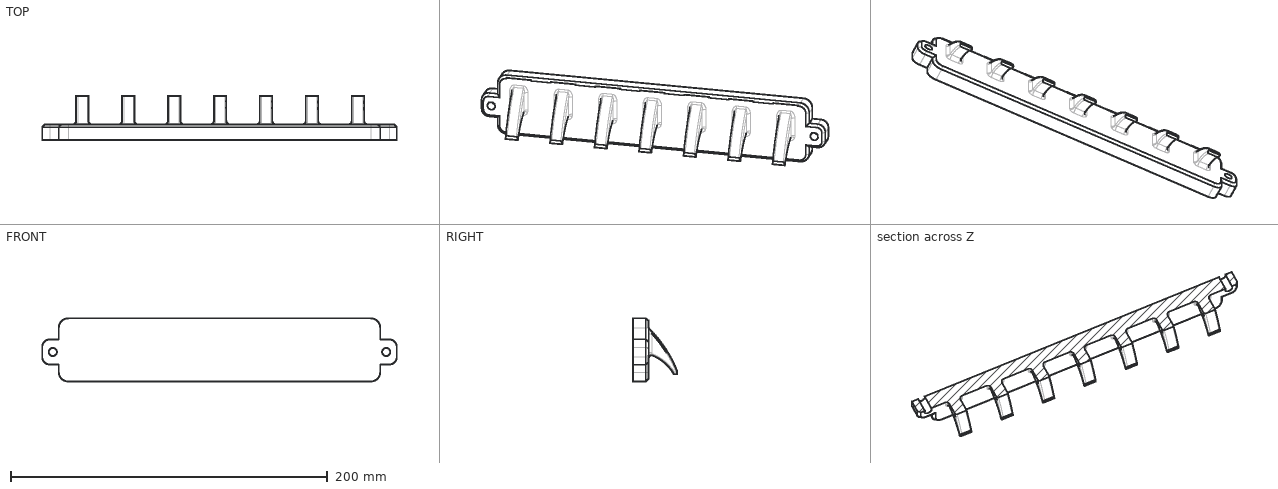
import cadquery as cq
overall_length = 224.05
tab_projection = 10.5
body_length = overall_length - 2 * tab_projection
body_height = 40.0
body_corner_radius = 6.0
tab_height = 16.0
tab_corner_radius = 5.0
tab_middle_z = -1.3
plate_thickness = 10.0
rim_chamfer = 1.75

hole_diameter = 5.0
hole_end_distance = 6.8

hook_count = 7
hook_pitch = 29.0
hook_row_middle_x = 0.4
hook_width = 8.0
hook_edge_radius = 1.0
hook_root_radius = 2.0
hook_embed = 1.0
foot_margin = 4.0
hook_reach = 28.0
root_slab = 0.01

root_y = plate_thickness - hook_embed
root_top = (root_y, 14.7)
back_middle = (20.3, 1.4)
tip_upper = (hook_reach, -13.2)
tip_outer = (hook_reach, -15.5)
tip_inner = (26.0, -15.5)
throat_middle = (18.8, -7.2)
root_bottom = (root_y, -2.3)


def rounded_bar(length, height, corner_radius):
    """Bar with rounded corners in XZ, growing toward +Y from the back face."""
    return (
        cq.Workplane("XZ")
        .rect(length, height)
        .extrude(-plate_thickness)
        .edges("|Y")
        .fillet(corner_radius)
    )


def make_plate():
    """Plate outline with tabs; the front rim is chamfered."""
    body = rounded_bar(body_length, body_height, body_corner_radius)
    tabs = rounded_bar(overall_length, tab_height, tab_corner_radius).translate((0, 0, tab_middle_z))
    return body.union(tabs).faces(">Y").chamfer(rim_chamfer)


def make_hook():
    """Claw-shaped hook centred on X = 0, curving outward and down, with rounded side edges."""
    blank = (
        cq.Workplane("YZ")
        .moveTo(*root_bottom)
        .threePointArc(throat_middle, tip_inner)
        .lineTo(*tip_outer)
        .lineTo(*tip_upper)
        .threePointArc(back_middle, root_top)
        .close()
        .extrude(hook_width / 2, both=True)
    )
    rounded_edges = blank.faces("<X or >X").edges("%CIRCLE")
    return blank.newObject(rounded_edges.vals()).fillet(hook_edge_radius)


def hook_positions():
    """X positions of the hooks, evenly spaced about the middle of the row."""
    first = hook_row_middle_x - hook_pitch * (hook_count - 1) / 2
    return [first + index * hook_pitch for index in range(hook_count)]


def make_rooted_hook():
    """Hook standing on a thin foot that lies flush inside the plate, with its root rounded."""
    foot_width = hook_width + 2 * foot_margin
    foot_height = root_top[1] - root_bottom[1] + 2 * foot_margin
    foot_middle_z = (root_top[1] + root_bottom[1]) / 2
    foot = (
        cq.Workplane("XY")
        .box(foot_width, hook_embed, foot_height)
        .translate((0, plate_thickness - hook_embed / 2, foot_middle_z))
    )
    root_zone = cq.selectors.BoxSelector(
        (-hook_width, plate_thickness - root_slab, root_bottom[1] - hook_edge_radius),
        (hook_width, plate_thickness + root_slab, root_top[1] + hook_edge_radius),
        boundingbox=True,
    )
    return make_hook().union(foot).edges(root_zone).fillet(hook_root_radius)


def add_hooks(plate):
    """Join the row of hooks to the front of the plate."""
    rooted_hook = make_rooted_hook()
    part = plate
    for x in hook_positions():
        part = part.union(rooted_hook.translate((x, 0, 0)))
    return part.clean()


def cut_screw_holes(part):
    """Drill one through hole along Y in each tab."""
    hole_x = overall_length / 2 - hole_end_distance
    holes = (
        cq.Workplane("XZ")
        .pushPoints([(-hole_x, tab_middle_z), (hole_x, tab_middle_z)])
        .circle(hole_diameter / 2)
        .extrude(-plate_thickness)
    )
    return part.cut(holes)


result = cut_screw_holes(add_hooks(make_plate()))